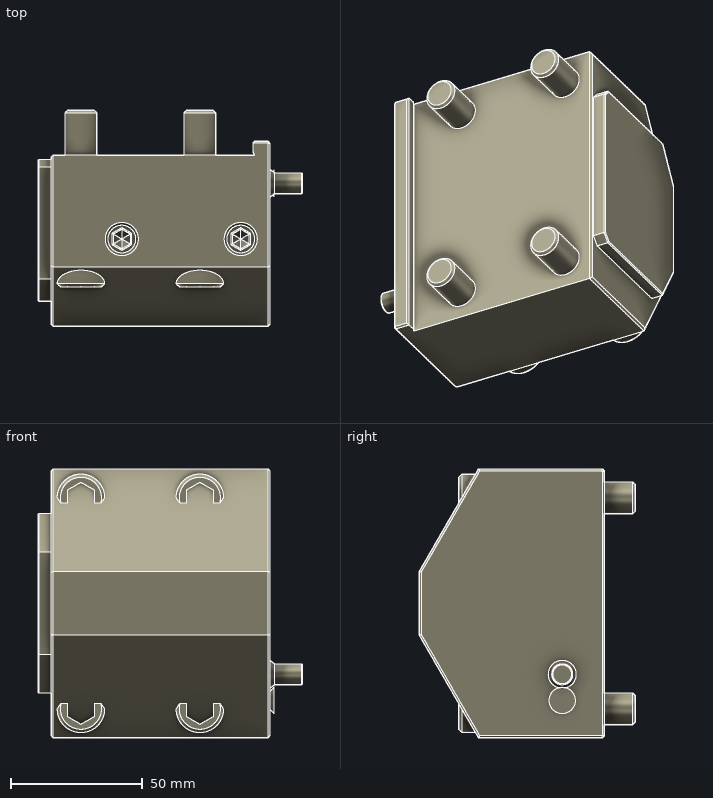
import cadquery as cq
import math


LENGTH = 83.0
DEPTH = 65.0
HEIGHT = 102.0
NOSE_FLAT = 24.1
SLOPE = math.tan(math.radians(60))
BLOCK_CHAMFER = 0.8

LIP_THICKNESS = 6.5
LIP_REACH = 5.3
LIP_CHAMFER = 0.7
UNDERCUT_HEIGHT = 1.4
UNDERCUT_DEPTH = 0.5

PLATE_THICKNESS = 5.0
PLATE_HEIGHT = 68.1
PLATE_BACK = -1.6
PLATE_FRONT = -55.5
PLATE_FLAT = 39.0
PLATE_CORNER = 3.0
PLATE_CHAMFER = 0.4

BOLT_PITCH_X = 45.1
BOLT_X = 11.3
BOLT_Z = 40.0
BOLT_DIAMETER = 12.1
BOLT_REACH = 17.0
BOLT_CHAMFER = 1.0
HEAD_DIAMETER = 18.1
HEAD_FRONT = -50.0
HEAD_CHAMFER = 1.2
HEAD_SOCKET = 10.2

SCREW_X = 26.8
SCREW_Y = -31.8
HOLE_DIAMETER = 12.5
HOLE_DEPTH = 12.2
SEAT_DIAMETER = 10.5
SCREW_SOCKET_MOUTH = 7.4
SCREW_SOCKET_FLOOR = 6.4
SCREW_SOCKET_DEPTH = 4.1
SCREW_TIP_DEPTH = 2.0
SCREW_TIP_FLAT = 0.4

SPIGOT_Y = -10.7
SPIGOT_Z = -26.9
SPIGOT_DIAMETER = 8.0
SPIGOT_LENGTH = 12.3
SPIGOT_CHAMFER = 0.4
COLLAR_DIAMETER = 10.6
COLLAR_LENGTH = 1.7
SIDE_SCREW_Z = -36.8
SIDE_SCREW_DIAMETER = 10.0
SIDE_SCREW_HEIGHT = 1.5

bolt_columns = [BOLT_X, BOLT_X + BOLT_PITCH_X]
screw_columns = [SCREW_X, SCREW_X + BOLT_PITCH_X]


def hexagon_diameter(across_flats):
    return across_flats / math.cos(math.pi / 6)


def nosed_prism(height, back, front, flat, thickness, back_corner=0.0):
    """Prism along +X from X = 0, whose front tapers at the block slope to a narrow flat."""
    top = height / 2
    shoulder = front + (height - flat) / 2 / SLOPE
    upper = [(front, flat / 2), (shoulder, top), (back - back_corner, top)]
    if back_corner:
        upper.append((back, top - back_corner))
    lower = [(y, -z) for y, z in reversed(upper)]
    return cq.Workplane("YZ").polyline(upper + lower).close().extrude(thickness)


def make_block():
    block = nosed_prism(HEIGHT, 0, -DEPTH, NOSE_FLAT, LENGTH).union(make_lip())
    return block.faces("<X or >X").chamfer(BLOCK_CHAMFER)


def make_lip():
    inner = LENGTH - LIP_THICKNESS
    root = -2 * BLOCK_CHAMFER
    lip = (
        cq.Workplane("XY")
        .workplane(offset=-HEIGHT / 2)
        .moveTo(LENGTH, root)
        .lineTo(LENGTH, LIP_REACH)
        .lineTo(inner, LIP_REACH)
        .lineTo(inner, UNDERCUT_HEIGHT)
        .lineTo(inner + UNDERCUT_DEPTH, 0)
        .lineTo(inner + UNDERCUT_DEPTH, root)
        .close()
        .extrude(HEIGHT)
    )
    inner_edges = cq.selectors.BoxSelector((0, 0, -HEIGHT), (LENGTH - LIP_CHAMFER, DEPTH, HEIGHT))
    return lip.faces(">Y").edges(inner_edges).chamfer(LIP_CHAMFER)


def make_plate():
    plate = nosed_prism(
        PLATE_HEIGHT, PLATE_BACK, PLATE_FRONT, PLATE_FLAT, PLATE_THICKNESS, PLATE_CORNER
    )
    return plate.translate((-PLATE_THICKNESS, 0, 0)).faces("<X").chamfer(PLATE_CHAMFER)


def make_bolt_end(x, z):
    """Bolt shank standing out of the back face."""
    shank = cq.Workplane("XZ").center(x, z).circle(BOLT_DIAMETER / 2).extrude(-BOLT_REACH)
    return shank.faces(">Y").chamfer(BOLT_CHAMFER)


def make_bolt_head(x, z):
    """Socket head that emerges from the sloped nose face; its rear is buried in the block."""
    shoulder = -DEPTH + (HEIGHT - NOSE_FLAT) / 2 / SLOPE
    plane = cq.Workplane("XZ", origin=(x, shoulder, z))
    head_length = shoulder - HEAD_FRONT
    head = plane.circle(HEAD_DIAMETER / 2).extrude(head_length)
    head = head.faces("<Y").chamfer(HEAD_CHAMFER)
    socket = plane.transformed(rotate=(0, 0, 90)).polygon(6, hexagon_diameter(HEAD_SOCKET))
    return head.cut(socket.extrude(head_length))


def hexagon_taper(x, top, top_flats, bottom_flats, depth):
    """Tapered hexagon below the level `top`, on the axis of a set screw."""
    return (
        cq.Workplane("XY", origin=(x, SCREW_Y, top))
        .transformed(rotate=(0, 0, 90))
        .polygon(6, hexagon_diameter(top_flats))
        .workplane(offset=-depth)
        .polygon(6, hexagon_diameter(bottom_flats))
        .loft(ruled=True)
    )


def make_screw_hole(x):
    """Round hole with a conical seat, then a tapered hexagon socket with a pointed bottom."""
    floor = HEIGHT / 2 - HOLE_DEPTH
    seat_depth = (HOLE_DIAMETER - SEAT_DIAMETER) / 2
    hole = (
        cq.Workplane("XY", origin=(x, SCREW_Y, floor))
        .circle(HOLE_DIAMETER / 2)
        .extrude(HOLE_DEPTH)
        .faces("<Z")
        .chamfer(seat_depth)
    )
    socket = hexagon_taper(x, floor, SCREW_SOCKET_MOUTH, SCREW_SOCKET_FLOOR, SCREW_SOCKET_DEPTH)
    tip_top = floor - SCREW_SOCKET_DEPTH
    tip = hexagon_taper(x, tip_top, SCREW_SOCKET_FLOOR, SCREW_TIP_FLAT, SCREW_TIP_DEPTH)
    return hole.union(socket).union(tip)


def side_cone(z, base_diameter, end_diameter, length):
    """Cone frustum standing on the right side of the block."""
    base = cq.Vector(LENGTH, SPIGOT_Y, z)
    cone = cq.Solid.makeCone(base_diameter / 2, end_diameter / 2, length, base, cq.Vector(1, 0, 0))
    return cq.Workplane(cone)


def make_spigot():
    spigot = (
        cq.Workplane("YZ", origin=(LENGTH, SPIGOT_Y, SPIGOT_Z))
        .circle(SPIGOT_DIAMETER / 2)
        .extrude(SPIGOT_LENGTH)
        .faces(">X")
        .chamfer(SPIGOT_CHAMFER)
    )
    return spigot.union(side_cone(SPIGOT_Z, COLLAR_DIAMETER, SPIGOT_DIAMETER, COLLAR_LENGTH))


def make_side_screw():
    root_diameter = SIDE_SCREW_DIAMETER - 2 * SIDE_SCREW_HEIGHT
    return side_cone(SIDE_SCREW_Z, root_diameter, SIDE_SCREW_DIAMETER, SIDE_SCREW_HEIGHT)


result = make_block().union(make_plate())
for column in bolt_columns:
    for row in (-BOLT_Z, BOLT_Z):
        result = result.union(make_bolt_end(column, row)).union(make_bolt_head(column, row))
for column in screw_columns:
    result = result.cut(make_screw_hole(column))
result = result.union(make_spigot()).union(make_side_screw())